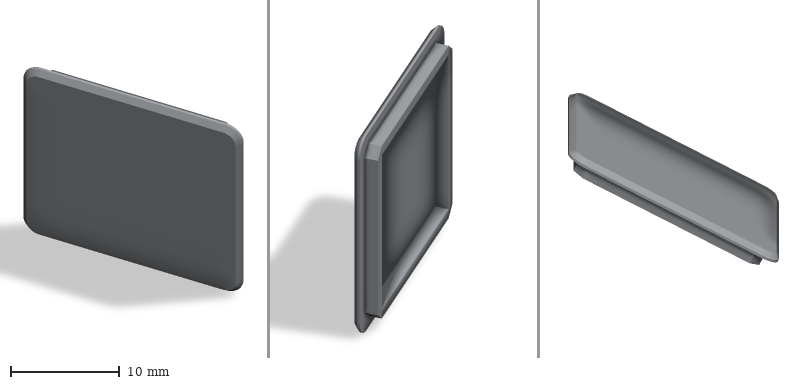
import cadquery as cq

plate_side = 21.85
plate_thickness = 0.75
corner_radius = 1.8

bevel_inset = 0.5
bevel_depth = 0.52

total_depth = 2.03
frame_side = 19.3
frame_corner_chamfer = 1.0
frame_wall = 1.0
frame_height = total_depth - plate_thickness


def square_prism(side, start_y, length):
    """Centred square prism running from start_y towards +Y."""
    middle_y = start_y + length / 2
    return cq.Workplane("XY").box(side, length, side).translate((0, middle_y, 0))


def cover_plate():
    """Plate with rounded corners and a bevelled front edge."""
    plate = square_prism(plate_side, 0, plate_thickness).edges("|Y").fillet(corner_radius)
    front_edges = plate.faces("<Y").edges()
    return front_edges.chamfer(bevel_depth, bevel_inset)


def locating_frame():
    """Square ring with cut-off outer corners."""
    outside = square_prism(frame_side, plate_thickness, frame_height)
    outside = outside.edges("|Y").chamfer(frame_corner_chamfer)
    opening = square_prism(frame_side - 2 * frame_wall, plate_thickness, frame_height)
    return outside.cut(opening)


result = cover_plate().union(locating_frame())